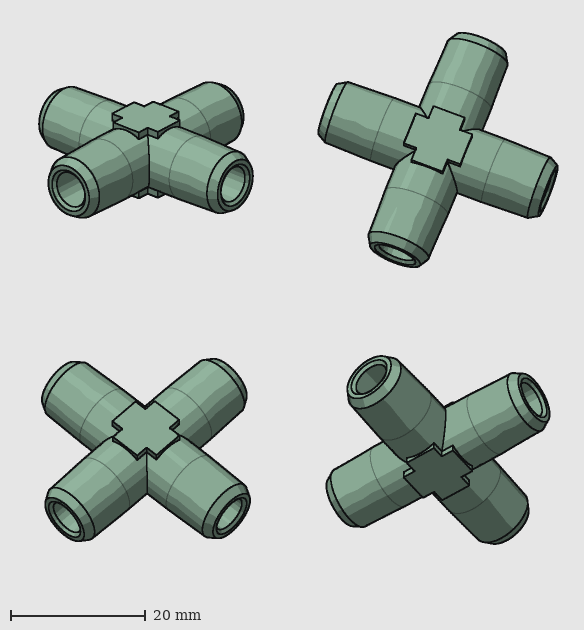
import cadquery as cq

span = 35.0
height = 11.0

body_diameter = 10.0
shoulder_diameter = 9.62
tip_diameter = 8.0
bore_diameter = 5.5
mouth_diameter = 6.5
body_reach = 8.82
tip_length = 1.4
mouth_depth = 0.5

pad_length = 9.0
pad_width = 4.97

half_span = span / 2
shoulder_reach = half_span - tip_length


def revolve_arm(points):
    """Revolve a (distance, radius) profile about the X axis."""
    return cq.Workplane("XY").polyline(points).close().revolve(360, (0, 0, 0), (1, 0, 0))


def arm_body():
    return revolve_arm([
        (0, 0),
        (0, body_diameter / 2),
        (body_reach, body_diameter / 2),
        (shoulder_reach, shoulder_diameter / 2),
        (half_span, tip_diameter / 2),
        (half_span, 0),
    ])


def arm_bore():
    return revolve_arm([
        (0, 0),
        (0, bore_diameter / 2),
        (half_span - mouth_depth, bore_diameter / 2),
        (half_span, mouth_diameter / 2),
        (half_span, 0),
    ])


def four_arms(arm):
    """Repeat an arm every quarter turn about Z."""
    arms = arm
    for angle in (90, 180, 270):
        arms = arms.union(arm.rotate((0, 0, 0), (0, 0, 1), angle))
    return arms


def cross_pads():
    """Plus-shaped column whose ends stand proud of the arms."""
    along_x = cq.Workplane("XY").box(pad_length, pad_width, height)
    along_y = cq.Workplane("XY").box(pad_width, pad_length, height)
    return along_x.union(along_y)


result = four_arms(arm_body()).union(cross_pads()).cut(four_arms(arm_bore()))